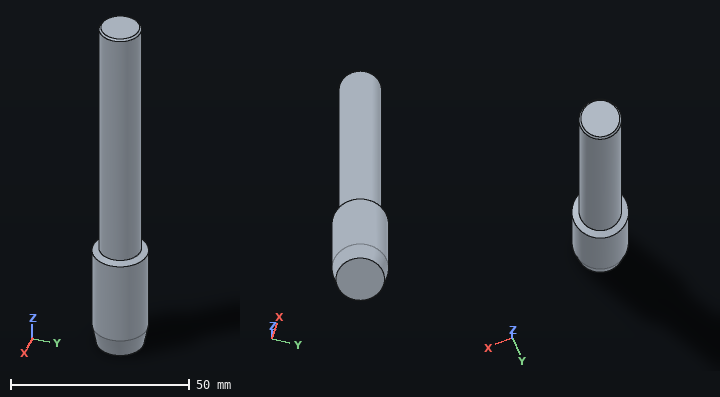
import cadquery as cq

total_length = 110.0

base_diameter = 16.0
base_length = 32.8
taper_length = 6.0
taper_end_diameter = 13.6
shoulder_height = 0.8

rod_diameter = 12.0
rod_chamfer = 0.5


def make_rod():
    """Round bar from the top of the base to the full height, chamfered at its upper end."""
    rod = (
        cq.Workplane("XY")
        .workplane(offset=base_length)
        .circle(rod_diameter / 2)
        .extrude(total_length - base_length)
    )
    return rod.faces(">Z").chamfer(rod_chamfer)


def make_base():
    """Revolved half profile: lower taper, cylinder, then a shallow cone up to the rod."""
    outer_radius = base_diameter / 2
    profile = (
        cq.Workplane("XZ")
        .lineTo(taper_end_diameter / 2, 0)
        .lineTo(outer_radius, taper_length)
        .lineTo(outer_radius, base_length - shoulder_height)
        .lineTo(rod_diameter / 2, base_length)
        .lineTo(0, base_length)
        .close()
    )
    return profile.revolve(360, (0, 0, 0), (0, 1, 0))


rod = make_rod()
base = make_base()

result = cq.Compound.makeCompound([rod.val(), base.val()])